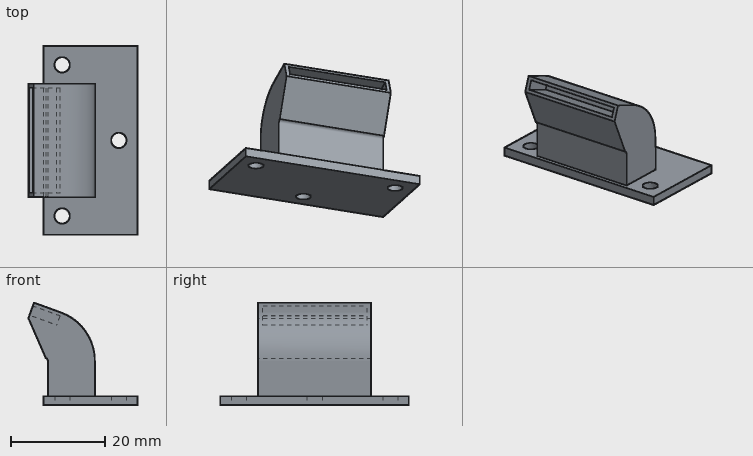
import cadquery as cq
import math

plate_width = 20
plate_length = 40
plate_thickness = 1.9

hole_diameter = 3.2
hole_edge_distance = 4

neck_left = 0.95
neck_depth = 10
neck_length = 24
neck_top = 9.35
neck_right = neck_left + neck_depth

bend_angle = math.radians(70)
bend_inner_radius = 0.7
bend_outer_radius = 10.95

nozzle_length = 6.1
mouth_height = 3.5
slot_height = 2.1
slot_length = 22.2
slot_depth = nozzle_length


def bend_point(start_x, radius, angle):
    """Point on an arc that leaves the neck vertically at start_x and turns by angle."""
    return (
        start_x - radius * (1 - math.cos(angle)),
        neck_top + radius * math.sin(angle),
    )


def along_nozzle(start, forward, inward):
    """Move forward out of the mouth and inward square to the nozzle axis."""
    cosine = math.cos(bend_angle)
    sine = math.sin(bend_angle)
    return (
        start[0] - forward * sine - inward * cosine,
        start[1] + forward * cosine - inward * sine,
    )


bend_top = bend_point(neck_right, bend_outer_radius, bend_angle)
bend_bottom = bend_point(neck_left, bend_inner_radius, bend_angle)
mouth_top = along_nozzle(bend_top, nozzle_length, 0)
mouth_bottom = along_nozzle(mouth_top, 0, mouth_height)


def extrude_centred(outline, length):
    """Extrude a closed XZ outline equally to both sides of Y = 0."""
    return outline.close().extrude(length / 2, both=True)


def make_plate():
    plate = cq.Workplane("XY").box(
        plate_width, plate_length, plate_thickness, centered=(False, True, False)
    )
    hole_y = plate_length / 2 - hole_edge_distance
    hole_centers = [
        (hole_edge_distance, hole_y),
        (hole_edge_distance, -hole_y),
        (plate_width - hole_edge_distance, 0),
    ]
    holes = (
        cq.Workplane("XY")
        .pushPoints(hole_centers)
        .circle(hole_diameter / 2)
        .extrude(plate_thickness)
    )
    return plate.cut(holes)


def make_neck():
    height = neck_top - plate_thickness
    return (
        cq.Workplane("XY", origin=(neck_left, 0, plate_thickness))
        .box(neck_depth, neck_length, height, centered=(False, True, False))
    )


def make_bend():
    outline = (
        cq.Workplane("XZ")
        .moveTo(neck_left, neck_top)
        .lineTo(neck_right, neck_top)
        .threePointArc(bend_point(neck_right, bend_outer_radius, bend_angle / 2), bend_top)
        .lineTo(*bend_bottom)
        .threePointArc(
            bend_point(neck_left, bend_inner_radius, bend_angle / 2), (neck_left, neck_top)
        )
    )
    return extrude_centred(outline, neck_length)


def make_nozzle():
    outline = cq.Workplane("XZ").polyline([bend_top, mouth_top, mouth_bottom, bend_bottom])
    return extrude_centred(outline, neck_length)


def make_slot():
    margin = (mouth_height - slot_height) / 2
    slot_bottom = margin + slot_height
    outline = cq.Workplane("XZ").polyline([
        along_nozzle(mouth_top, 0, margin),
        along_nozzle(mouth_top, -slot_depth, margin),
        along_nozzle(mouth_top, -slot_depth, slot_bottom),
        along_nozzle(mouth_top, 0, slot_bottom),
    ])
    return extrude_centred(outline, slot_length)


result = make_plate().union(make_neck()).union(make_bend()).union(make_nozzle()).cut(make_slot())